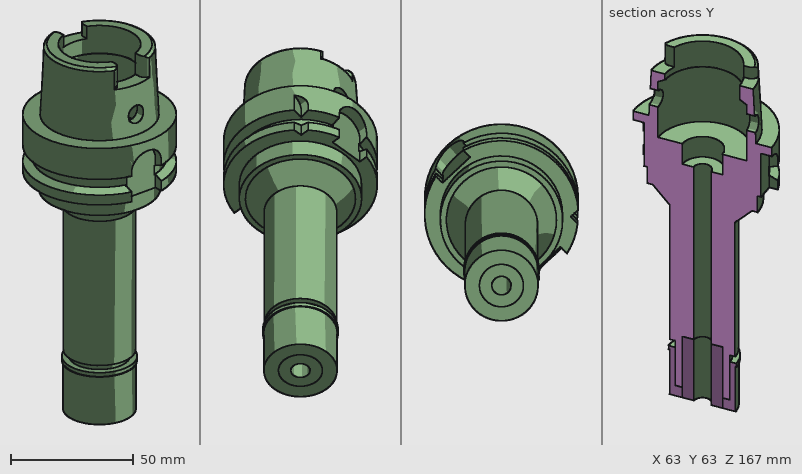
import cadquery as cq
import math

total_height = 167.0
shank_face_z = 135.0
flange_bottom_z = 109.0
collar_bottom_z = 101.0
cone_bottom_z = 93.2
tube_bottom_z = 27.0

flange_radius = 63.0 / 2
collar_radius = 25.0
cone_top_radius = 22.5
tube_radius = 29.7 / 2
nose_radius = 12.5
shank_base_radius = 24.4
shank_tip_radius = 22.9
shank_tip_chamfer_width = 1.3
shank_tip_chamfer_height = 1.2

groove_lower_edge_z = 113.5
groove_side_height = 1.59
groove_upper_edge_z = 120.7
groove_floor_radius = 27.5

lip_radius = 16.9
lip_height = 12.7
cavity_radius = 20.0
flare_height = 1.8
cavity_floor_z = 125.2
thread_bore_radius = 9.0
thread_bore_depth = 10.0
coolant_radius = 7.8 / 2

drive_slot_width = 12.4
drive_slot_depth_left = 5.7
drive_slot_depth_right = 9.7
drive_slot_rounding = 3.0

radial_hole_radius = 7.8 / 2
radial_hole_z = 144.1

keyway_width = 15.7
keyway_floor_distance = 26.5
keyway_top_z = 130.5
notch_width = 12.0
notch_side_y = 19.9
notch_floor_distance = 20.4
notch_top_z = 129.8

nut_height = 24.0
nut_radius = 15.0
nut_rim_radius = 30.9 / 2
nut_rim_height = 2.0
nut_face_thickness = 5.0
collet_radius = 9.0
collet_length = 30.0


def cylinder(radius, bottom_z, top_z):
    """Solid cylinder on the Z axis between two heights."""
    return cq.Workplane("XY").workplane(offset=bottom_z).circle(radius).extrude(top_z - bottom_z)


def revolve_outline(points):
    """Turn a closed outline of (radius, height) points around the Z axis."""
    return cq.Workplane("XZ").polyline(points).close().revolve(360, (0, 0), (0, 1))


def turned_body():
    """Outer shape: nose, tube, cone, collar, grooved flange and tapered shank."""
    return revolve_outline([
        (0, nut_face_thickness),
        (nose_radius, nut_face_thickness),
        (nose_radius, tube_bottom_z),
        (tube_radius, tube_bottom_z),
        (tube_radius, cone_bottom_z),
        (cone_top_radius, collar_bottom_z),
        (collar_radius, collar_bottom_z),
        (collar_radius, flange_bottom_z),
        (flange_radius, flange_bottom_z),
        (flange_radius, groove_lower_edge_z),
        (groove_floor_radius, groove_lower_edge_z + groove_side_height),
        (groove_floor_radius, groove_upper_edge_z - groove_side_height),
        (flange_radius, groove_upper_edge_z),
        (flange_radius, shank_face_z),
        (shank_base_radius, shank_face_z),
        (shank_tip_radius, total_height - shank_tip_chamfer_height),
        (shank_tip_radius - shank_tip_chamfer_width, total_height),
        (0, total_height),
    ])


def cavity():
    """Clamping cavity: a lip at the mouth that flares to a wider chamber."""
    lip_bottom_z = total_height - lip_height
    return revolve_outline([
        (0, cavity_floor_z),
        (cavity_radius, cavity_floor_z),
        (cavity_radius, lip_bottom_z - flare_height),
        (lip_radius, lip_bottom_z),
        (lip_radius, total_height),
        (0, total_height),
    ])


def drive_slot(side, depth):
    """Slot through one side of the shank tip, its mouth rounded outward on both walls."""
    half_width = drive_slot_width / 2
    half_mouth = half_width + drive_slot_rounding
    mouth_x = math.sqrt(shank_tip_radius ** 2 - half_mouth ** 2)
    round_x = mouth_x - drive_slot_rounding
    arc_mid_offset = drive_slot_rounding * math.sin(math.radians(45))
    mid_x = round_x + arc_mid_offset
    mid_y = half_mouth - arc_mid_offset
    return (
        cq.Workplane("XY").workplane(offset=total_height - depth)
        .moveTo(0, -half_width)
        .lineTo(side * round_x, -half_width)
        .threePointArc((side * mid_x, -mid_y), (side * mouth_x, -half_mouth))
        .lineTo(side * flange_radius, -half_mouth)
        .lineTo(side * flange_radius, half_mouth)
        .lineTo(side * mouth_x, half_mouth)
        .threePointArc((side * mid_x, mid_y), (side * round_x, half_width))
        .lineTo(0, half_width)
        .close()
        .extrude(depth)
    )


def arched_slot(side, floor_distance, center_y, width, top_z):
    """Round-topped slot cut into the flange along X, with a flat floor facing outward."""
    half_width = width / 2
    spring_z = top_z - half_width
    return (
        cq.Workplane("YZ").workplane(offset=side * floor_distance)
        .moveTo(center_y - half_width, flange_bottom_z)
        .lineTo(center_y - half_width, spring_z)
        .threePointArc((center_y, top_z), (center_y + half_width, spring_z))
        .lineTo(center_y + half_width, flange_bottom_z)
        .close()
        .extrude(side * flange_radius)
    )


def make_holder():
    body = turned_body().cut(cavity())
    body = body.cut(cylinder(thread_bore_radius, cavity_floor_z - thread_bore_depth, cavity_floor_z))
    body = body.cut(cylinder(coolant_radius, 0, cavity_floor_z))
    body = body.cut(cylinder(collet_radius, 0, collet_length))
    body = body.cut(drive_slot(-1, drive_slot_depth_left))
    body = body.cut(drive_slot(1, drive_slot_depth_right))
    radial_holes = (
        cq.Workplane("YZ").center(0, radial_hole_z).circle(radial_hole_radius)
        .extrude(flange_radius, both=True)
    )
    body = body.cut(radial_holes)
    for side in (-1, 1):
        body = body.cut(arched_slot(side, keyway_floor_distance, 0, keyway_width, keyway_top_z))
    notch_center_y = notch_side_y + notch_width / 2
    return body.cut(arched_slot(-1, notch_floor_distance, notch_center_y, notch_width, notch_top_z))


def make_nut():
    """Clamping nut with a raised rim, closed around the collet by its end face."""
    nut = cylinder(nut_radius, 0, nut_height)
    nut = nut.union(cylinder(nut_rim_radius, nut_height - nut_rim_height, nut_height))
    nut = nut.cut(cylinder(nose_radius, nut_face_thickness, nut_height))
    return nut.cut(cylinder(collet_radius, 0, nut_face_thickness))


def make_collet():
    """Plain sleeve seated in the nose and the nut."""
    return cylinder(collet_radius, 0, collet_length).cut(cylinder(coolant_radius, 0, collet_length))


holder = make_holder()
nut = make_nut()
collet = make_collet()

result = cq.Compound.makeCompound([holder.val(), nut.val(), collet.val()])